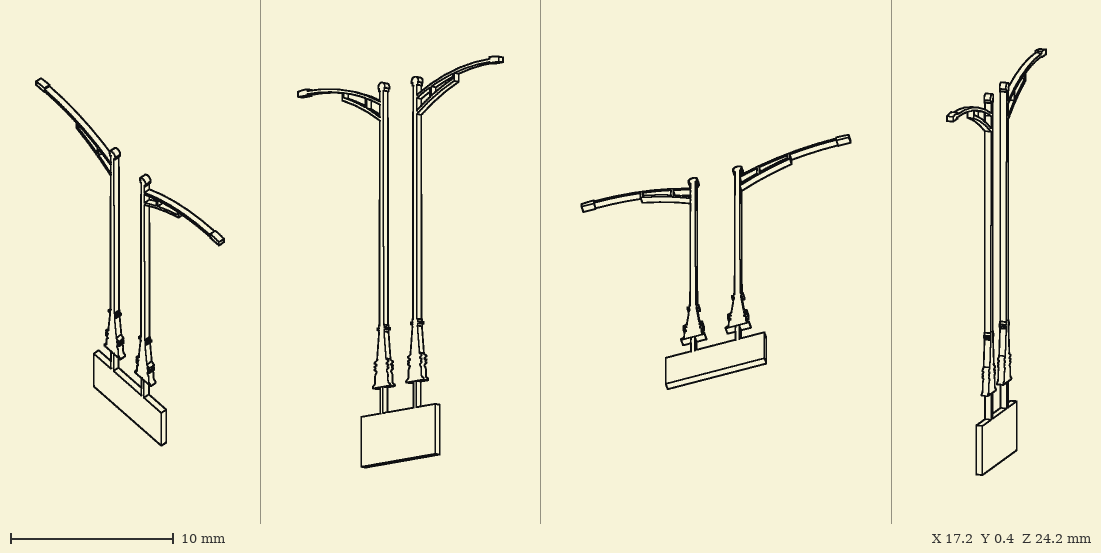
import cadquery as cq


thickness = 0.4
total_height = 24.2
total_width = 17.15
lamp_x = 1.43
lamp_reach = total_width / 2 - lamp_x

plate_width = 6.35
plate_height = 3.12
tang_width = 0.25
tang_height = 1.65
foot_z = plate_height + tang_height

foot_half = 0.75
bead_half = 0.6
plinth_half = 0.55
moulding = (
    (0.73, 4.9),
    (0.6, 4.95),
    (plinth_half, 5.1),
    (plinth_half, 5.47),
    (0.5, 5.61),
    (0.44, 5.75),
    (bead_half, 5.9),
    (0.48, 5.98),
    (bead_half, 6.07),
    (0.4, 6.17),
    (bead_half, 6.32),
    (0.44, 6.44),
)

taper_bottom_half = 0.39
taper_bottom_z = 6.5
neck_half = 0.22
neck_z = 8.2
neck_band_half = 0.25
neck_top_z = 8.65

collar_half = 0.36
collar_height = 0.12
collar_bottom = 8.35

shaft_bottom_half = 0.182
shaft_top_half = 0.157
finial_radius = 0.3
post_top_z = 23.8
finial_ledge_z = 23.43
finial_neck_half = 0.23
finial_bottom_z = 23.25

arm_depth = 0.2
arm_root = (0.07, 22.58)
arm_middle = (2.9, 23.67)
arm_tip = (6.41, 24.08)
strut_depth = 0.22
strut_root = (0.07, 21.59)
strut_middle = (1.7, 22.58)
strut_tip = (3.36, 23.3)
tie_width = 0.15
tie_places = (
    (strut_tip[0] - tie_width, 23.18, 23.65),
    (1.25, 22.25, 23.06),
)

head_length = 0.8
head_height = 0.39
head_crown_drop = 0.07


def front_plane():
    """Sketch plane with X across and Z up, on the face from which extrusion runs towards -Y."""
    return cq.Workplane("XZ", origin=(0, thickness / 2, 0))


def bar(left, right, bottom, top):
    """A rectangular piece of the sheet."""
    return (
        front_plane()
        .moveTo(left, bottom)
        .lineTo(right, bottom)
        .lineTo(right, top)
        .lineTo(left, top)
        .close()
        .extrude(thickness)
    )


def curved_bar(root, middle, tip, depth):
    """A piece whose upper edge is an arc and whose lower edge is the same arc set lower."""
    def lower(point):
        return (point[0], point[1] - depth)

    return (
        front_plane()
        .moveTo(*root)
        .threePointArc(middle, tip)
        .lineTo(*lower(tip))
        .threePointArc(lower(middle), lower(root))
        .close()
        .extrude(thickness)
    )


def make_post():
    """Moulded base, taper, slender shaft and finial, with the collar across the neck."""
    half_post = (
        front_plane()
        .moveTo(0, foot_z)
        .lineTo(foot_half, foot_z)
        .spline([*moulding, (taper_bottom_half, taper_bottom_z)], includeCurrent=True)
        .lineTo(neck_half, neck_z)
        .lineTo(neck_band_half, neck_z)
        .lineTo(neck_band_half, neck_top_z)
        .lineTo(shaft_bottom_half, neck_top_z)
        .lineTo(shaft_top_half, finial_bottom_z)
        .lineTo(finial_neck_half, finial_bottom_z)
        .lineTo(finial_neck_half, finial_ledge_z)
        .lineTo(finial_radius, finial_ledge_z)
        .lineTo(finial_radius, post_top_z - finial_radius)
        .tangentArcPoint((-finial_radius, finial_radius))
        .close()
        .extrude(thickness)
    )
    post = half_post.union(half_post.mirror("YZ"))
    collar = bar(-collar_half, collar_half, collar_bottom, collar_bottom + collar_height)
    return post.union(collar)


def make_bracket():
    """Curved arm, curved strut and the upright ties between them."""
    bracket = curved_bar(arm_root, arm_middle, arm_tip, arm_depth)
    bracket = bracket.union(curved_bar(strut_root, strut_middle, strut_tip, strut_depth))
    for inner, bottom, top in tie_places:
        bracket = bracket.union(bar(inner, inner + tie_width, bottom, top))
    return bracket


def make_head():
    """Lamp head at the end of the arm, its top falling in a shallow arc towards the tip."""
    inner = lamp_reach - head_length
    middle = lamp_reach - head_length / 2
    bottom = total_height - head_height
    crown_middle = (middle, total_height - head_crown_drop / 4)
    crown_tip = (lamp_reach, total_height - head_crown_drop)
    return (
        front_plane()
        .moveTo(inner, total_height)
        .threePointArc(crown_middle, crown_tip)
        .lineTo(lamp_reach, bottom)
        .lineTo(inner, bottom)
        .close()
        .extrude(thickness)
    )


def make_lamp(side):
    """One lamp on its axis at side * lamp_x, its arm pointing away from the other lamp."""
    lamp = make_post().union(make_bracket()).union(make_head())
    if side < 0:
        lamp = lamp.mirror("YZ")
    return lamp.translate((side * lamp_x, 0, 0))


def make_mounting_plate():
    """Plate with one upright tang under each lamp."""
    plate = bar(-plate_width / 2, plate_width / 2, 0, plate_height)
    for side in (-1, 1):
        axis = side * lamp_x
        plate = plate.union(bar(axis - tang_width / 2, axis + tang_width / 2, 0, foot_z))
    return plate


mounting_plate = make_mounting_plate()
lamps = [make_lamp(side) for side in (-1, 1)]

result = cq.Compound.makeCompound([mounting_plate.val(), *[lamp.val() for lamp in lamps]])